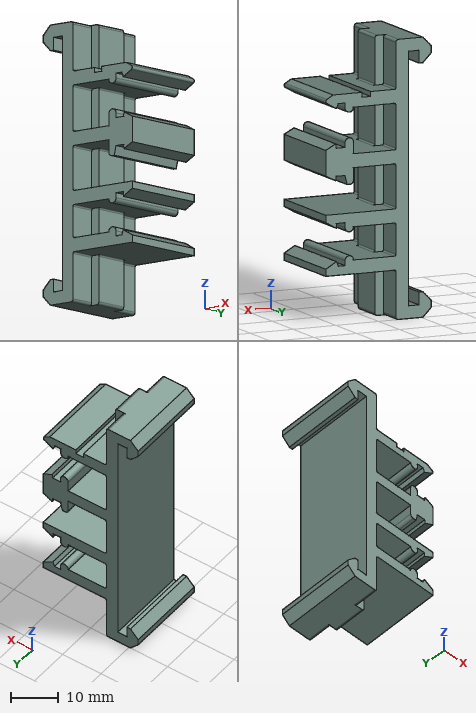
import cadquery as cq
import math

total_width = 24.7
depth = 20.0
height = 60.0
half_height = height / 2

plate_back_x = 5.3
plate_face_x = 8.3
band_face_x = 10.3
band_depth = 8.0
outer_corner_radius = 0.6
rib_root_radius = 0.35

hook_chamfer = 2.0
hook_inner_x = 2.9
hook_drop = 5.5
hook_web = 2.75

rib_thickness = 3.0
half_rib = rib_thickness / 2
top_rib_z = 17.87
double_rib_z = 4.9
lower_rib_z = -7.75
bottom_rib_z = -17.85

bead_start_x = 18.2
bead_radius = 1.0
bead_mid_x = bead_start_x + bead_radius
bead_end_x = bead_start_x + 2 * bead_radius
groove_floor_offset = 0.45
lip_tip_x = 22.2
lip_undercut = 0.45
nose_angle = math.radians(30)
nose_slope = math.tan(nose_angle)
nose_offset = half_rib - nose_slope * (total_width - lip_tip_x)

tip_radius = 0.5
tip_centre_x = total_width - tip_radius
tip_apex_x = tip_centre_x + tip_radius / math.sin(nose_angle)
tip_tangent_x = tip_centre_x + tip_radius * math.sin(nose_angle)
tip_tangent_rise = tip_radius * math.cos(nose_angle)
tip_apex_offset = half_rib - nose_slope * (tip_apex_x - lip_tip_x)
bevel_start_x = tip_apex_x - (half_rib + tip_apex_offset) / nose_slope
slot_start_x = 14.2
slot_width = 2.0
slot_depth = 1.05

head_reach = 5.0
head_groove_offset = 3.0
head_groove_end_x = 22.25
head_lip_x = 22.4
head_lip_offset = 3.95
head_nose_offset = 2.75
post_bottom_radius = 0.8
post_bottom_end_x = 19.7


def plate(face_x):
    """Outline of the back plate and its two hooks, with its front face at face_x."""
    upper = [
        (plate_back_x, half_height - hook_web),
        (hook_inner_x, half_height - hook_web),
        (hook_inner_x, half_height - hook_drop),
        (hook_chamfer, half_height - hook_drop),
        (0, half_height - hook_drop + hook_chamfer),
        (0, half_height - hook_chamfer),
        (hook_chamfer, half_height),
        (face_x, half_height),
    ]
    lower = [(x, -z) for x, z in reversed(upper)]
    return cq.Workplane("XZ").polyline(upper + lower).close()


def snap_rib(mid_z, side, undercut, has_tip=False):
    """Outline of a rib with bead and lip above (side = 1) or below (side = -1).

    With has_tip the free end is a rounded tip instead of a flat end.
    """
    def at(x, offset):
        return (x, mid_z + side * offset)

    outline = cq.Workplane("XZ").moveTo(*at(plate_back_x, -half_rib))
    if has_tip:
        outline = outline.lineTo(*at(bevel_start_x, -half_rib))
        outline = outline.lineTo(*at(tip_tangent_x, tip_apex_offset - tip_tangent_rise))
        outline = outline.threePointArc(
            at(total_width, tip_apex_offset), at(tip_tangent_x, tip_apex_offset + tip_tangent_rise)
        )
    else:
        outline = outline.lineTo(*at(total_width, -half_rib))
        outline = outline.lineTo(*at(total_width, nose_offset))
    return (
        outline.lineTo(*at(lip_tip_x, half_rib))
        .lineTo(*at(lip_tip_x - undercut, groove_floor_offset))
        .lineTo(*at(bead_end_x, groove_floor_offset))
        .lineTo(*at(bead_end_x, half_rib))
        .threePointArc(at(bead_mid_x, half_rib + bead_radius), at(bead_start_x, half_rib))
        .lineTo(*at(plate_back_x, half_rib))
        .close()
    )


def double_rib():
    """Outline of the rib whose head has a round bead above and a tapered post below."""
    def at(x, offset):
        return (x, double_rib_z + offset)

    bead_spring = head_reach - bead_radius
    post_round_end_x = bead_start_x + post_bottom_radius
    post_round_start = post_bottom_radius - head_reach
    return (
        cq.Workplane("XZ")
        .moveTo(*at(plate_back_x, half_rib))
        .lineTo(*at(bead_start_x, half_rib))
        .lineTo(*at(bead_start_x, bead_spring))
        .threePointArc(at(bead_mid_x, head_reach), at(bead_end_x, bead_spring))
        .lineTo(*at(bead_end_x, head_groove_offset))
        .lineTo(*at(head_groove_end_x, head_groove_offset))
        .lineTo(*at(head_lip_x, head_lip_offset))
        .lineTo(*at(total_width, head_nose_offset))
        .lineTo(*at(total_width, -head_nose_offset))
        .lineTo(*at(head_lip_x, -head_lip_offset))
        .lineTo(*at(head_groove_end_x, -head_groove_offset))
        .lineTo(*at(bead_end_x, -head_groove_offset))
        .lineTo(*at(post_bottom_end_x, -head_reach))
        .lineTo(*at(post_round_end_x, -head_reach))
        .tangentArcPoint(at(bead_start_x, post_round_start), relative=False)
        .lineTo(*at(bead_start_x, -half_rib))
        .lineTo(*at(plate_back_x, -half_rib))
        .close()
    )


def edges_at(body, x, heights):
    """Edges of body that run along Y at the given x and heights."""
    tolerance = 0.01
    edges = body.edges("|Y")
    picked = [
        edge for edge in edges.vals()
        if abs(edge.Center().x - x) < tolerance
        and any(abs(edge.Center().z - z) < tolerance for z in heights)
    ]
    return body.newObject(picked)


def profile_body(face_x, length):
    """Plate and all ribs, centred on Y = 0, with rounded outer corners and rib roots."""
    outlines = [
        snap_rib(top_rib_z, -1, lip_undercut, has_tip=True),
        double_rib(),
        snap_rib(lower_rib_z, -1, 0),
        snap_rib(bottom_rib_z, 1, lip_undercut),
    ]
    body = plate(face_x).extrude(length / 2, both=True)
    for outline in outlines:
        body = body.union(outline.extrude(length / 2, both=True))
    body = edges_at(body, face_x, [half_height, -half_height]).fillet(outer_corner_radius)
    root_heights = [
        mid_z + side * half_rib
        for mid_z in (top_rib_z, double_rib_z, lower_rib_z, bottom_rib_z)
        for side in (-1, 1)
    ]
    return edges_at(body, face_x, root_heights).fillet(rib_root_radius)


def top_slot():
    """Rectangular slot along Y in the upper side of the top rib."""
    slot_top_z = top_rib_z + half_rib
    return cq.Workplane("XY", origin=(slot_start_x, 0, slot_top_z - slot_depth)).box(
        slot_width, depth, slot_depth, centered=(False, True, False)
    )


main_body = profile_body(plate_face_x, depth)
raised_band = profile_body(band_face_x, band_depth)
result = main_body.union(raised_band).cut(top_slot())